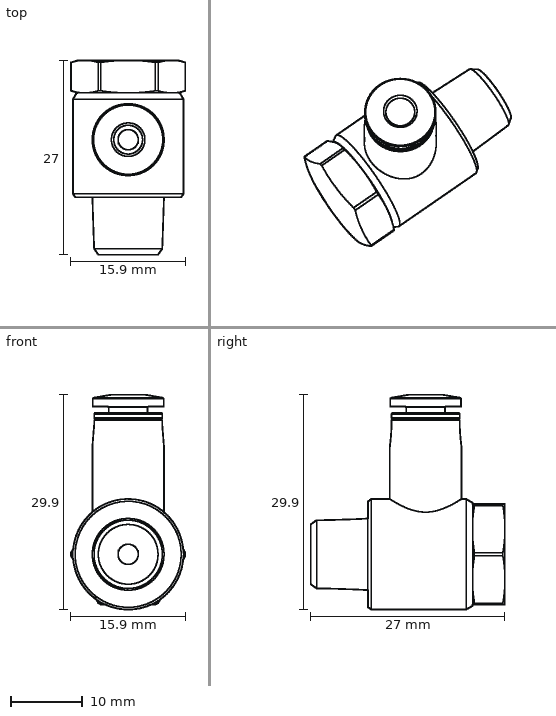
import cadquery as cq
import math


body_radius = 15.4 / 2
body_front = -8.0
body_front_chamfer_length = 0.48
body_front_chamfer_depth = 0.33
body_shoulder = 5.62
body_shoulder_radius = 7.18
body_back = 6.52

spigot_base_radius = 10.0 / 2
spigot_tip_radius = 9.5 / 2
spigot_end_radius = 4.15
spigot_front = -16.0
spigot_chamfer_length = 0.85

hex_back = 11.0
hex_flats = 14.0
hex_turned_radius = 15.9 / 2
hex_face_radius = 7.05
hex_chamfer_length = 0.27

stem_radius = 10.0 / 2
taper_bottom = 14.95
taper_top = 17.95
collar_radius = 9.5 / 2
groove_bottom = 18.6
groove_floor = 18.78
groove_top = 18.95
groove_depth = 0.15
collar_top = 19.7
collar_chamfer = 0.25
collar_top_radius = collar_radius - 0.15

neck_radius = 5.4 / 2
neck_flare = 0.12
button_radius = 9.9 / 2
button_bottom = 20.55
button_rim = 21.62
button_shoulder = 21.77
button_shoulder_radius = 4.8
top_height = 29.9 - body_radius

tube_radius = 4.0 / 2
tube_stop = 8.97
mouth_radius = 4.65 / 2
passage_radius = 2.8 / 2


def revolve_about_y(profile):
    """Revolve (radius, y) points about the Y axis."""
    return cq.Workplane("XY").polyline(profile).close().revolve(360, (0, 0), (0, 1))


def revolve_about_z(profile):
    """Revolve (radius, z) points about the Z axis."""
    return cq.Workplane("XZ").polyline(profile).close().revolve(360, (0, 0), (0, 1))


def make_body():
    return revolve_about_y([
        (0, spigot_front),
        (spigot_end_radius, spigot_front),
        (spigot_tip_radius, spigot_front + spigot_chamfer_length),
        (spigot_base_radius, body_front),
        (body_radius - body_front_chamfer_depth, body_front),
        (body_radius, body_front + body_front_chamfer_length),
        (body_radius, body_shoulder),
        (body_shoulder_radius, body_back),
        (0, body_back),
    ])


def make_hex_head():
    """Hexagon with corners on the X axis, turned and chamfered at both ends."""
    corner_diameter = hex_flats / math.cos(math.pi / 6)
    hexagon = (
        cq.Workplane("XZ", origin=(0, hex_back, 0))
        .polygon(6, corner_diameter)
        .extrude(hex_back - body_back)
    )
    turned_blank = revolve_about_y([
        (0, body_back),
        (hex_face_radius, body_back),
        (hex_turned_radius, body_back + hex_chamfer_length),
        (hex_turned_radius, hex_back - hex_chamfer_length),
        (hex_face_radius, hex_back),
        (0, hex_back),
    ])
    return hexagon.intersect(turned_blank)


def make_stem():
    """Round stem with tapered top, grooved collar and release button."""
    return revolve_about_z([
        (0, 0),
        (stem_radius, 0),
        (stem_radius, taper_bottom),
        (collar_radius, taper_top),
        (collar_radius, groove_bottom),
        (collar_radius - groove_depth, groove_floor),
        (collar_radius, groove_top),
        (collar_radius, collar_top - collar_chamfer),
        (collar_top_radius, collar_top),
        (neck_radius, collar_top),
        (neck_radius, button_bottom - neck_flare),
        (neck_radius + neck_flare, button_bottom),
        (button_radius, button_bottom),
        (button_radius, button_rim),
        (button_shoulder_radius, button_shoulder),
        (mouth_radius, top_height),
        (0, top_height),
    ])


def make_passages():
    """Stepped tube socket joined to the spigot bore by a ball-shaped elbow."""
    mouth_chamfer = mouth_radius - tube_radius
    socket = revolve_about_z([
        (0, 0),
        (passage_radius, 0),
        (passage_radius, tube_stop),
        (tube_radius, tube_stop),
        (tube_radius, top_height - mouth_chamfer),
        (mouth_radius, top_height),
        (0, top_height),
    ])
    spigot_bore = cq.Workplane("XZ").circle(passage_radius).extrude(-spigot_front)
    elbow = cq.Workplane("XY").sphere(passage_radius)
    return socket.union(spigot_bore).union(elbow)


result = make_body().union(make_hex_head()).union(make_stem()).cut(make_passages())